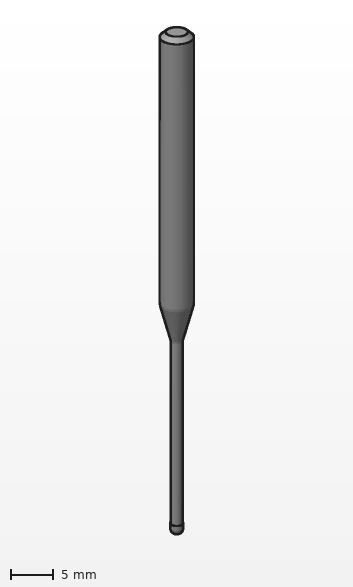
import cadquery as cq
import math

TOTAL_LENGTH = 65.0
SHANK_RADIUS = 2.0
TOP_CHAMFER_WIDTH = 0.7
TOP_CHAMFER_HEIGHT = 0.65
NECK_RADIUS = 0.7
BALL_RADIUS = 0.8

HEAD_TOP = 1.35
NECK_TOP = 25.0
CONE_TOP = 29.8

CONE_BLEND_RADIUS = 1.35


def make_cutting_head():
    """Short cylinder ending in a hemispherical nose."""
    arc_reach = BALL_RADIUS * math.sin(math.radians(45))
    return (
        cq.Workplane("XZ")
        .moveTo(0, 0)
        .threePointArc((arc_reach, BALL_RADIUS - arc_reach), (BALL_RADIUS, BALL_RADIUS))
        .lineTo(BALL_RADIUS, HEAD_TOP)
        .lineTo(0, HEAD_TOP)
        .close()
        .revolve(360, (0, 0, 0), (0, 1, 0))
    )


def make_shank():
    """Slim neck, cone and cylindrical shank with a chamfered top."""
    body = (
        cq.Workplane("XZ")
        .moveTo(0, HEAD_TOP)
        .lineTo(NECK_RADIUS, HEAD_TOP)
        .lineTo(NECK_RADIUS, NECK_TOP)
        .lineTo(SHANK_RADIUS, CONE_TOP)
        .lineTo(SHANK_RADIUS, TOTAL_LENGTH - TOP_CHAMFER_HEIGHT)
        .lineTo(SHANK_RADIUS - TOP_CHAMFER_WIDTH, TOTAL_LENGTH)
        .lineTo(0, TOTAL_LENGTH)
        .close()
        .revolve(360, (0, 0, 0), (0, 1, 0))
    )
    cone_ends = body.faces("%CONE").faces("<Z").edges("%CIRCLE")
    return cone_ends.fillet(CONE_BLEND_RADIUS)


cutting_head = make_cutting_head()
shank = make_shank()

result = cq.Compound.makeCompound([cutting_head.val(), shank.val()])